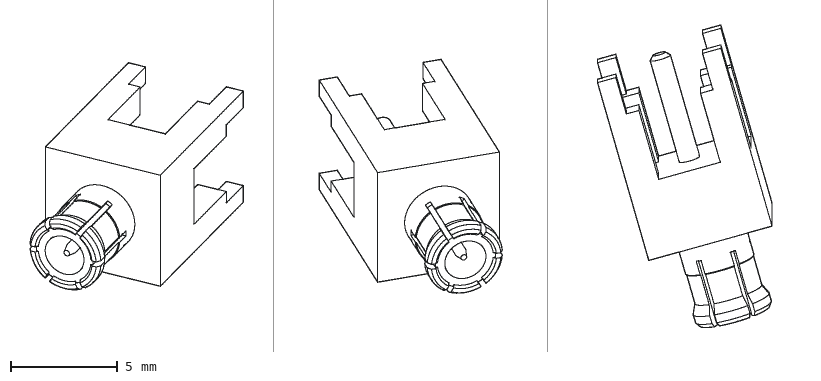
import cadquery as cq

total_length = 12.96
body_side = 6.0

body_length = 8.8
leg_length = 5.21
leg_tip_length = 1.8
leg_side = 1.5
leg_tip_side = 0.9

solder_pin_diameter = 1.0
solder_pin_chamfer = 0.2

collar_radius = 1.67
sleeve_radius = 1.63
rim_radius = 1.85
collar_length = 1.6
flare_start = 3.08
flare_end = 3.56
rim_chamfer_length = 0.21
rim_chamfer_depth = 0.14

slot_count = 6
slot_width = 0.27
slot_start = 0.93
slot_floor_radius = 1.48

insulator_recess = 0.12
mouth_radius = 1.37
bore_radius = 1.01
contact_radius = 0.27
contact_tip_radius = 0.14
contact_taper_length = 0.52
contact_recess = 0.35

plug_length = total_length - body_length
plug_front = -plug_length
insulator_front = plug_front + insulator_recess
leg_root = body_length - leg_length
leg_shoulder = body_length - leg_tip_length


def revolve_about_y(points):
    """Revolve a closed (radius, y) outline about the Y axis."""
    return cq.Workplane("XY").polyline(points).close().revolve(360, (0, 0, 0), (0, 1, 0))


def box_along_y(x_size, z_size, y_start, y_end):
    """Box centred on the Y axis between two stations."""
    length = y_end - y_start
    return cq.Workplane("XY").box(x_size, length, z_size).translate((0, y_start + length / 2, 0))


def cylinder_along_y(radius, y_start, y_end):
    """Cylinder centred on the Y axis between two stations."""
    return cq.Workplane("XZ", origin=(0, y_start, 0)).circle(radius).extrude(y_start - y_end)


def make_body():
    """Square block cut crosswise from the rear, leaving four stepped corner legs."""
    body = box_along_y(body_side, body_side, 0, body_length)
    for side, start in ((leg_side, leg_root), (leg_tip_side, leg_shoulder)):
        gap = body_side - 2 * side
        body = body.cut(box_along_y(gap, body_side, start, body_length))
        body = body.cut(box_along_y(body_side, gap, start, body_length))
    return body


def make_solder_pin():
    """Pin from the floor between the legs, chamfered at its rear end."""
    pin = cylinder_along_y(solder_pin_diameter / 2, leg_root, body_length)
    return pin.faces(">Y").chamfer(solder_pin_chamfer)


def make_sleeve():
    """Solid plug with a flared rim; its recessed front face meets the rim through a 45 degree chamfer."""
    return revolve_about_y([
        (0, 0),
        (collar_radius, 0),
        (collar_radius, -collar_length),
        (sleeve_radius, -collar_length - (collar_radius - sleeve_radius)),
        (sleeve_radius, -flare_start),
        (rim_radius, -flare_end),
        (rim_radius, plug_front + rim_chamfer_length),
        (rim_radius - rim_chamfer_depth, plug_front),
        (mouth_radius + insulator_recess, plug_front),
        (mouth_radius, insulator_front),
        (0, insulator_front),
    ])


def cut_finger_slots(sleeve):
    """Cut the radial slots down to the insulator, and fully through the rim ahead of it."""
    outer_reach = 2 * rim_radius
    slot_length = plug_length - slot_start
    insulator = cylinder_along_y(slot_floor_radius, insulator_front, 0)
    slot = (
        cq.Workplane("XY")
        .box(outer_reach, slot_length, slot_width, centered=(False, False, True))
        .translate((0, plug_front, 0))
        .cut(insulator)
    )
    for index in range(slot_count):
        angle = index * 360 / slot_count
        sleeve = sleeve.cut(slot.rotate((0, 0, 0), (0, 1, 0), angle))
    return sleeve


def make_contact():
    """Centre contact standing on the bore floor, tapered to a small flat tip."""
    tip = plug_front + contact_recess
    return revolve_about_y([
        (0, 0),
        (contact_radius, 0),
        (contact_radius, tip + contact_taper_length),
        (contact_tip_radius, tip),
        (0, tip),
    ])


plug = cut_finger_slots(make_sleeve())
plug = plug.cut(cylinder_along_y(bore_radius, plug_front, 0))

result = make_body().union(plug).union(make_contact()).union(make_solder_pin())